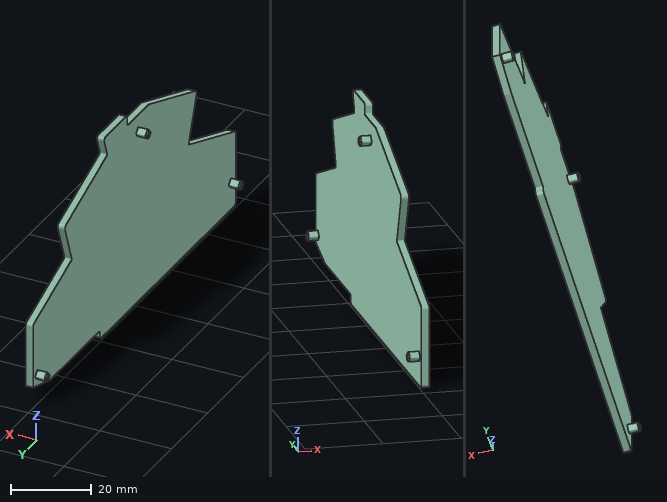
import cadquery as cq
import math

LENGTH = 112.64
HEIGHT = 56.7
THICKNESS = 2.1
SLOPE = math.tan(math.radians(20))
CORNER_SLOPE = math.tan(math.radians(15))

SHOULDER_TOP = 53.75
SHOULDER_START = 48.5
FRONT_NOTCH_Y = 26.25
FRONT_NOTCH_Z = 30.75
TAB_FRONT = 60.3
TAB_NOTCH_Y = 71.4
TAB_NOTCH_Z = 51.0
BACK_NOTCH_Y = 91.1
BACK_NOTCH_Z = 31.0
FOOT_STEP_Y = 75.6
FOOT_STEP_Z = 2.45
CORNER_CUT_Y = 102.8

EDGE_RADIUS = 1.0
TIP_RADIUS = 1.1
TAB_RADIUS = 0.8
NOTCH_RADIUS = 0.3
STEP_RADIUS = 0.5

PIN_LENGTH = 3.0
PIN_SIDE = 2.0
PIN_EDGE_RADIUS = 0.3
PIN_BEVEL = 0.4
PIN_CENTRES = [(2.7, 7.7), (110.2, 7.7), (54.2, 48.85)]


def shoulder_tip(notch, shoulder_point, direction):
    """Corner where a notch flank meets the shoulder line above it.

    direction is +1 when the shoulder falls toward +Y and -1 when it falls toward -Y.
    """
    notch_y, notch_z = notch
    line_y, line_z = shoulder_point
    drop = line_z - notch_z - SLOPE * direction * (notch_y - line_y)
    outward = drop / (1 / SLOPE + SLOPE)
    return (notch_y + direction * outward, notch_z + outward / SLOPE)


def round_corners(plate, corners, radius):
    """Fillet the plate edges that run through its thickness at the given (Y, Z) corners."""
    edges = cq.Workplane("XY")
    for y, z in corners:
        edge = plate.edges("|X").edges(cq.NearestToPointSelector((THICKNESS / 2, y, z)))
        edges = edges.add(edge)
    return plate.newObject(edges.vals()).fillet(radius)


def make_plate():
    front_notch = (FRONT_NOTCH_Y, FRONT_NOTCH_Z)
    back_notch = (BACK_NOTCH_Y, BACK_NOTCH_Z)
    tab_notch = (TAB_NOTCH_Y, TAB_NOTCH_Z)
    shoulder_start = (SHOULDER_START, SHOULDER_TOP)
    front_tip = shoulder_tip(front_notch, shoulder_start, -1)
    back_tip = shoulder_tip(back_notch, tab_notch, 1)
    front_base = (0, 0)
    front_edge_top = (0, FRONT_NOTCH_Z - FRONT_NOTCH_Y * SLOPE)
    back_edge_top = (LENGTH, BACK_NOTCH_Z - (LENGTH - BACK_NOTCH_Y) * SLOPE)
    tab_front = (TAB_FRONT, HEIGHT)
    tab_back = (TAB_NOTCH_Y + (HEIGHT - TAB_NOTCH_Z) * SLOPE, HEIGHT)
    tab_root = (TAB_FRONT, SHOULDER_TOP)
    corner_cut_start = (CORNER_CUT_Y, FOOT_STEP_Z)
    corner_cut_end = (LENGTH, FOOT_STEP_Z + (LENGTH - CORNER_CUT_Y) * CORNER_SLOPE)
    foot_root = (FOOT_STEP_Y, FOOT_STEP_Z)
    foot = (FOOT_STEP_Y, 0)

    outline = [
        front_base, front_edge_top, front_notch, front_tip, shoulder_start, tab_root,
        tab_front, tab_back, tab_notch, back_tip, back_notch, back_edge_top,
        corner_cut_end, corner_cut_start, foot_root, foot,
    ]
    plate = cq.Workplane("YZ").polyline(outline).close().extrude(THICKNESS)

    edge_corners = [front_base, front_edge_top, shoulder_start, back_edge_top, foot]
    plate = round_corners(plate, edge_corners, EDGE_RADIUS)
    plate = round_corners(plate, [front_tip, back_tip], TIP_RADIUS)
    plate = round_corners(plate, [tab_front, tab_back], TAB_RADIUS)
    plate = round_corners(plate, [front_notch, tab_notch, back_notch], NOTCH_RADIUS)
    return round_corners(plate, [tab_root, foot_root], STEP_RADIUS)


def make_pin(y, z):
    square = cq.Workplane("YZ").rect(PIN_SIDE, PIN_SIDE).extrude(-PIN_LENGTH)
    rounded = square.edges("|X").fillet(PIN_EDGE_RADIUS)
    bevelled = square.faces("<X").chamfer(PIN_BEVEL)
    pin = rounded.intersect(bevelled)
    return pin.rotate((0, 0, 0), (1, 0, 0), 45).translate((0, y, z))


result = make_plate()
for pin_y, pin_z in PIN_CENTRES:
    result = result.union(make_pin(pin_y, pin_z))